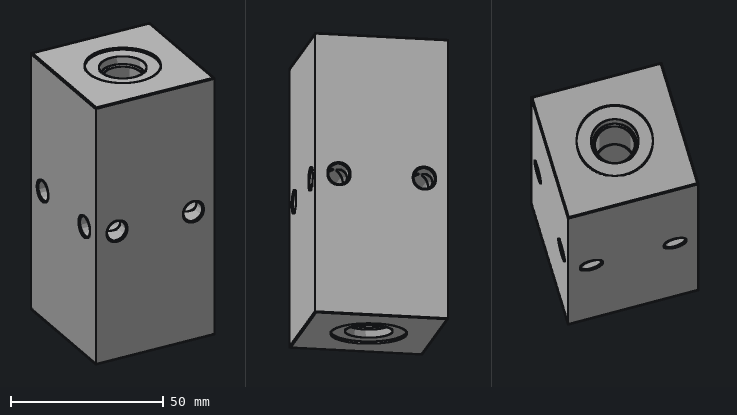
import cadquery as cq

height = 95.25
width = 44.5
end_chamfer = 0.3

spotface_diameter = 25.05
spotface_depth = 0.8
mouth_diameter = 15.6
taper_depth = 2.6
cone_large_diameter = 14.5
cone_depth = 0.6
thread_diameter = 13.05
thread_depth = 19.05
bore_diameter = 12.8

mount_spacing = 28.6
mount_diameter = 7.05
mount_chamfer = 0.4


def make_block():
    """Square block with chamfered edges around both end faces."""
    return cq.Workplane("XY").box(width, width, height).faces("<Z or >Z").chamfer(end_chamfer)


def make_flow_passage():
    """Stepped cutter for the bore and both end ports, revolved about Z."""
    top = height / 2
    spotface_floor = top - spotface_depth
    taper_end = spotface_floor - taper_depth
    thread_floor = spotface_floor - thread_depth
    half_profile = (
        cq.Workplane("XZ")
        .lineTo(bore_diameter / 2, 0)
        .lineTo(bore_diameter / 2, thread_floor)
        .lineTo(thread_diameter / 2, thread_floor)
        .lineTo(thread_diameter / 2, taper_end - cone_depth)
        .lineTo(cone_large_diameter / 2, taper_end)
        .lineTo(mouth_diameter / 2, spotface_floor)
        .lineTo(spotface_diameter / 2, spotface_floor)
        .lineTo(spotface_diameter / 2, top)
        .lineTo(0, top)
        .close()
    )
    upper_half = half_profile.revolve(360, (0, 0), (0, 1))
    return upper_half.union(upper_half.mirror("XY"))


def make_mount_hole(offset):
    """Cutter along Y at x = offset, flared at both ends to chamfer the hole rims."""
    rod = cq.Workplane("XZ").center(offset, 0).circle(mount_diameter / 2).extrude(width / 2, both=True)
    flare = (
        cq.Workplane("XZ", origin=(offset, -width / 2, 0))
        .circle(mount_diameter / 2 + mount_chamfer)
        .workplane(offset=-mount_chamfer)
        .circle(mount_diameter / 2)
        .loft(ruled=True)
    )
    return rod.union(flare).union(flare.mirror("XZ"))


result = make_block().cut(make_flow_passage())
for side in (-1, 1):
    hole_along_y = make_mount_hole(side * mount_spacing / 2)
    hole_along_x = hole_along_y.rotate((0, 0, 0), (0, 0, 1), 90)
    result = result.cut(hole_along_y).cut(hole_along_x)